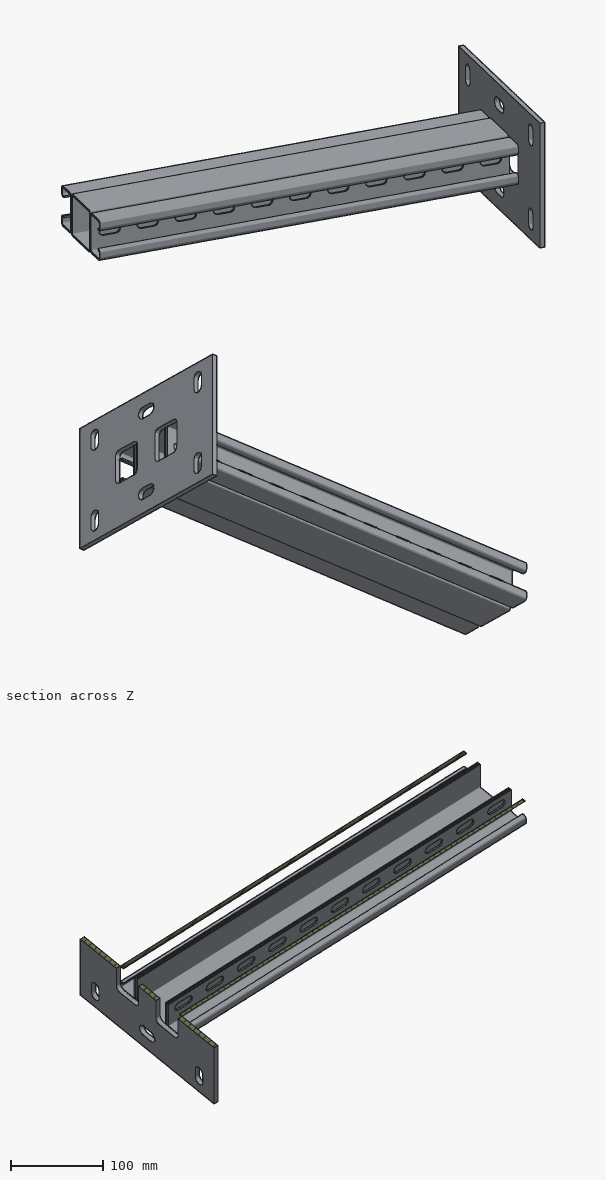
import cadquery as cq

PLATE_WIDTH = 220.0
PLATE_HEIGHT = 149.0
PLATE_THICKNESS = 6.0

TOTAL_LENGTH = 501.0

MOUNT_SLOT_LENGTH = 25.0
CORNER_SLOT_WIDTH = 12.0
CORNER_SLOT_X = 85.0
MIDDLE_SLOT_WIDTH = 14.0
MOUNT_SLOT_Z = 50.0

OPENING_INNER_X = 14.5
OPENING_OUTER_X = 50.5
OPENING_HEIGHT = 41.0
OPENING_CORNER_RADIUS = 6.0

TUBE_SIZE = 50.0
TUBE_WALL = 2.0
TUBE_CORNER_RADIUS = 2.5

CHANNEL_GAP = 1.0
CHANNEL_DEPTH = 26.0
CHANNEL_HEIGHT = 48.0
CHANNEL_WALL = 2.0
CHANNEL_CORNER_RADIUS = 4.0
CHANNEL_MOUTH = 22.0
LIP_RETURN_DEPTH = 6.0
LIP_BEND_RADIUS = 4.0

WEB_SLOT_COUNT = 11
WEB_SLOT_LENGTH = 25.0
WEB_SLOT_WIDTH = 11.0
WEB_SLOT_PITCH = 45.0

ARM_LENGTH = TOTAL_LENGTH - PLATE_THICKNESS
CHANNEL_BACK_X = TUBE_SIZE / 2 + CHANNEL_GAP


def arm_plane():
    """XZ plane on the front of the plate; extrusion runs along -Y, away from it."""
    return cq.Workplane("XZ", origin=(0, -PLATE_THICKNESS, 0))


def make_plate():
    plate = cq.Workplane("XZ").rect(PLATE_WIDTH, PLATE_HEIGHT).extrude(PLATE_THICKNESS)

    corner_slots = (
        cq.Workplane("XZ")
        .rect(2 * CORNER_SLOT_X, 2 * MOUNT_SLOT_Z, forConstruction=True)
        .vertices()
        .slot2D(MOUNT_SLOT_LENGTH, CORNER_SLOT_WIDTH, 90)
        .extrude(PLATE_THICKNESS)
    )
    middle_slots = (
        cq.Workplane("XZ")
        .pushPoints([(0, MOUNT_SLOT_Z), (0, -MOUNT_SLOT_Z)])
        .slot2D(MOUNT_SLOT_LENGTH, MIDDLE_SLOT_WIDTH)
        .extrude(PLATE_THICKNESS)
    )
    opening_center = (OPENING_INNER_X + OPENING_OUTER_X) / 2
    openings = (
        cq.Workplane("XZ")
        .pushPoints([(-opening_center, 0), (opening_center, 0)])
        .rect(OPENING_OUTER_X - OPENING_INNER_X, OPENING_HEIGHT)
        .extrude(PLATE_THICKNESS)
        .edges("|Y")
        .fillet(OPENING_CORNER_RADIUS)
    )
    return plate.cut(corner_slots).cut(middle_slots).cut(openings)


def make_tube():
    bore_size = TUBE_SIZE - 2 * TUBE_WALL
    tube = arm_plane().rect(TUBE_SIZE, TUBE_SIZE).extrude(ARM_LENGTH)
    tube = tube.edges("|Y").fillet(TUBE_CORNER_RADIUS)
    bore = arm_plane().rect(bore_size, bore_size).extrude(ARM_LENGTH)
    bore = bore.edges("|Y").fillet(TUBE_CORNER_RADIUS - TUBE_WALL)
    return tube.cut(bore)


def channel_upper_half():
    """Upper half of the +X channel: half the web, the flange and the returned lip."""
    lip_x = CHANNEL_BACK_X + CHANNEL_DEPTH
    lip_end_x = lip_x - LIP_RETURN_DEPTH
    top_z = CHANNEL_HEIGHT / 2
    mouth_z = CHANNEL_MOUTH / 2
    wall = CHANNEL_WALL
    corner = CHANNEL_CORNER_RADIUS
    bend = LIP_BEND_RADIUS
    return (
        arm_plane()
        .moveTo(CHANNEL_BACK_X, 0)
        .lineTo(CHANNEL_BACK_X, top_z - corner)
        .tangentArcPoint((CHANNEL_BACK_X + corner, top_z), relative=False)
        .lineTo(lip_x - corner, top_z)
        .tangentArcPoint((lip_x, top_z - corner), relative=False)
        .lineTo(lip_x, mouth_z + bend)
        .tangentArcPoint((lip_x - bend, mouth_z), relative=False)
        .lineTo(lip_end_x, mouth_z)
        .lineTo(lip_end_x, mouth_z + wall)
        .lineTo(lip_x - bend, mouth_z + wall)
        .tangentArcPoint((lip_x - wall, mouth_z + bend), relative=False)
        .lineTo(lip_x - wall, top_z - corner)
        .tangentArcPoint((lip_x - corner, top_z - wall), relative=False)
        .lineTo(CHANNEL_BACK_X + corner, top_z - wall)
        .tangentArcPoint((CHANNEL_BACK_X + wall, top_z - corner), relative=False)
        .lineTo(CHANNEL_BACK_X + wall, 0)
        .close()
        .extrude(ARM_LENGTH)
    )


def make_channel():
    """Channel on the +X side of the tube, with a row of slots centered along its web."""
    upper_half = channel_upper_half()
    channel = upper_half.union(upper_half.mirror("XY"))

    arm_middle_y = -PLATE_THICKNESS - ARM_LENGTH / 2
    web_slots = (
        cq.Workplane("YZ", origin=(CHANNEL_BACK_X, arm_middle_y, 0))
        .rarray(WEB_SLOT_PITCH, 5, WEB_SLOT_COUNT, 1)
        .slot2D(WEB_SLOT_LENGTH, WEB_SLOT_WIDTH)
        .extrude(CHANNEL_WALL)
    )
    return channel.cut(web_slots)


plate = make_plate()
tube = make_tube()
channels = [make_channel().rotate((0, 0, 0), (0, 1, 0), angle) for angle in (0, 180)]

result = cq.Compound.makeCompound(
    [plate.val(), tube.val(), *[channel.val() for channel in channels]]
)